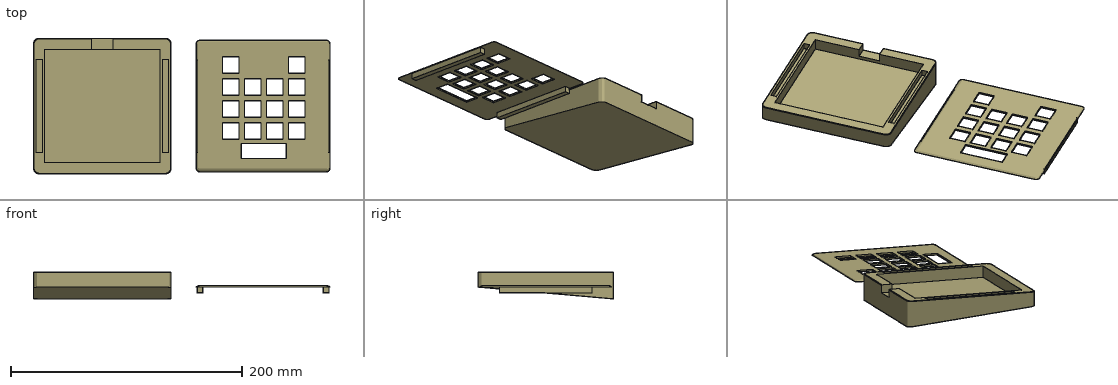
import cadquery as cq
import math

BASE_WIDTH = 119.0
BASE_DEPTH = 117.25
FRONT_HEIGHT = 13.0
TILT_DEGREES = 5.0
BACK_DROP = BASE_DEPTH * math.tan(math.radians(TILT_DEGREES))
CORNER_RADIUS = 5.0
TOP_EDGE_CHAMFER = 0.5

POCKET_WIDTH = 100.0
POCKET_LENGTH = 97.75
POCKET_DEPTH = 10.0

NOTCH_WIDTH = 18.75
NOTCH_DEPTH = 7.0

BLOCK_WIDTH = BASE_WIDTH - 2 * TOP_EDGE_CHAMFER
BLOCK_LENGTH = BASE_DEPTH - 2 * TOP_EDGE_CHAMFER
PLATE_THICKNESS = 1.5
RIM_RADIUS = CORNER_RADIUS - TOP_EDGE_CHAMFER
RIM_INSET = math.sqrt(RIM_RADIUS**2 - (RIM_RADIUS - PLATE_THICKNESS) ** 2)
PLATE_WIDTH = BLOCK_WIDTH - 2 * (RIM_RADIUS - RIM_INSET)
OVERALL_WIDTH = 256.28
PLATE_CENTER_X = OVERALL_WIDTH - (BASE_WIDTH + PLATE_WIDTH) / 2

LEG_WIDTH = 5.0
LEG_LENGTH = 80.0
LEG_HEIGHT = 5.0
LEG_SPACING = 109.0

SLOT_CLEARANCE = 0.25
SLOT_WIDTH = LEG_WIDTH + SLOT_CLEARANCE
SLOT_LENGTH = LEG_LENGTH + 2 * SLOT_CLEARANCE
SLOT_DEPTH = LEG_HEIGHT + SLOT_CLEARANCE

KEY_SIZE = 14.0
KEY_PITCH = 19.05
KEY_COLUMNS = 4
KEY_ROWS = 4
KEYS_CENTER_X = 0.6
KEYS_CENTER_Y = 7.0
BAR_WIDTH = 38.5
BAR_LENGTH = 12.75
BAR_DROP = 17.2


def upright_box(width, length, height, center_x, center_y, bottom):
    """Box with level faces, placed by the center of its bottom face."""
    box = cq.Workplane("XY").box(width, length, height, centered=(True, True, False))
    return box.translate((center_x, center_y, bottom))


def make_base():
    front = -BASE_DEPTH / 2
    back = BASE_DEPTH / 2
    side_profile = [(front, FRONT_HEIGHT), (back, FRONT_HEIGHT), (back, -BACK_DROP), (front, 0)]
    base = cq.Workplane("YZ").polyline(side_profile).close().extrude(BASE_WIDTH / 2, both=True)
    base = base.edges("|Z").fillet(CORNER_RADIUS)
    base = base.faces(">Z").edges().chamfer(TOP_EDGE_CHAMFER)

    pocket = upright_box(POCKET_WIDTH, POCKET_LENGTH, POCKET_DEPTH, 0, 0, FRONT_HEIGHT - POCKET_DEPTH)
    base = base.cut(pocket)

    wall_thickness = (BASE_DEPTH - POCKET_LENGTH) / 2
    wall_center_y = (BASE_DEPTH + POCKET_LENGTH) / 4
    notch = upright_box(
        NOTCH_WIDTH, wall_thickness, NOTCH_DEPTH, 0, wall_center_y, FRONT_HEIGHT - NOTCH_DEPTH
    )
    base = base.cut(notch)

    for side in (-1, 1):
        slot_x = side * LEG_SPACING / 2
        slot = upright_box(SLOT_WIDTH, SLOT_LENGTH, SLOT_DEPTH, slot_x, 0, FRONT_HEIGHT - SLOT_DEPTH)
        base = base.cut(slot)
    return base


def make_blank():
    """Plate sliced from the top of a rounded block, so its rim is part of a round edge."""
    block_height = 2 * RIM_RADIUS
    block = upright_box(BLOCK_WIDTH, BLOCK_LENGTH, block_height, 0, 0, PLATE_THICKNESS - block_height)
    block = block.edges("|Z or >Z").fillet(RIM_RADIUS)
    part_below = upright_box(BLOCK_WIDTH, BLOCK_LENGTH, block_height, 0, 0, -block_height)
    return block.cut(part_below)


def make_plate():
    plate = make_blank()
    for row in range(KEY_ROWS):
        for column in range(KEY_COLUMNS):
            if row == KEY_ROWS - 1 and 0 < column < KEY_COLUMNS - 1:
                continue
            key_x = KEYS_CENTER_X + (column - (KEY_COLUMNS - 1) / 2) * KEY_PITCH
            key_y = KEYS_CENTER_Y + (row - (KEY_ROWS - 1) / 2) * KEY_PITCH
            plate = plate.cut(upright_box(KEY_SIZE, KEY_SIZE, PLATE_THICKNESS, key_x, key_y, 0))

    bar_y = KEYS_CENTER_Y - (KEY_ROWS - 1) / 2 * KEY_PITCH - BAR_DROP
    plate = plate.cut(upright_box(BAR_WIDTH, BAR_LENGTH, PLATE_THICKNESS, KEYS_CENTER_X, bar_y, 0))

    for side in (-1, 1):
        leg_x = side * LEG_SPACING / 2
        plate = plate.union(upright_box(LEG_WIDTH, LEG_LENGTH, LEG_HEIGHT, leg_x, 0, -LEG_HEIGHT))
    return plate.translate((PLATE_CENTER_X, 0, 0))


base = make_base()
plate = make_plate()
result = cq.Compound.makeCompound([base.val(), plate.val()])